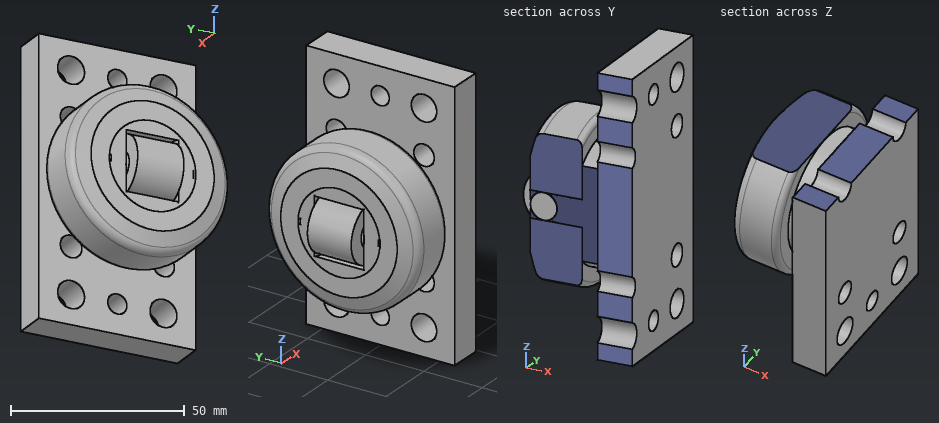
import cadquery as cq
import math


plate_height = 88.9
plate_width = 51.0
plate_thickness = 11.3
plate_front_x = 21.8
hole_spacing_y = 30.05
outer_hole_spacing_z = 70.05
inner_hole_spacing_z = 40.0
corner_hole_diameter = 8.7
inner_hole_diameter = 7.0
centre_hole_diameter = 6.2

wheel_diameter = 52.5
wheel_radius = wheel_diameter / 2
wheel_width = 16.9
wheel_face_radius = 20.0
front_taper_angle = math.radians(20)
front_round_radius = 2.9
rear_round_radius = 1.9

stem_radius = 14.05
neck_radius = 20.0

roller_radius = 9.5
roller_width = 15.0
roller_projection = 5.1
roller_centre_x = roller_radius - roller_projection
pocket_radius = 10.6
pocket_width = 17.0
axle_radius = 4.3
axle_length = 2 * math.sqrt(stem_radius**2 - axle_radius**2)


def cross_cylinder(radius, length):
    """Cylinder along Y, centred on the roller axis."""
    return (
        cq.Workplane("XZ", origin=(roller_centre_x, length / 2, 0))
        .circle(radius)
        .extrude(length)
    )


def disc(radius, start_x, end_x):
    """Cylinder along the wheel axis."""
    return cq.Workplane("YZ", origin=(start_x, 0, 0)).circle(radius).extrude(end_x - start_x)


def make_plate():
    plate = (
        cq.Workplane("YZ", origin=(plate_front_x, 0, 0))
        .rect(plate_width, plate_height)
        .extrude(plate_thickness)
    )
    hole_patterns = [
        (corner_hole_diameter, hole_spacing_y, outer_hole_spacing_z),
        (inner_hole_diameter, hole_spacing_y, inner_hole_spacing_z),
        (centre_hole_diameter, 0, outer_hole_spacing_z),
    ]
    for diameter, spacing_y, spacing_z in hole_patterns:
        columns = [-spacing_y / 2, spacing_y / 2] if spacing_y else [0]
        centres = [(y, z) for y in columns for z in (-spacing_z / 2, spacing_z / 2)]
        holes = (
            cq.Workplane("YZ", origin=(plate_front_x, 0, 0))
            .pushPoints(centres)
            .circle(diameter / 2)
            .extrude(plate_thickness)
        )
        plate = plate.cut(holes)
    return plate


def make_wheel():
    round_centre_r = wheel_radius - front_round_radius
    taper_end_r = round_centre_r + front_round_radius * math.sin(front_taper_angle)
    taper_end_x = (taper_end_r - wheel_face_radius) * math.tan(front_taper_angle)
    round_centre_x = taper_end_x + front_round_radius * math.cos(front_taper_angle)
    middle_angle = (front_taper_angle + math.pi / 2) / 2
    round_middle = (
        round_centre_x - front_round_radius * math.cos(middle_angle),
        round_centre_r + front_round_radius * math.sin(middle_angle),
    )
    return (
        cq.Workplane("XY")
        .moveTo(0, stem_radius)
        .lineTo(0, wheel_face_radius)
        .lineTo(taper_end_x, taper_end_r)
        .threePointArc(round_middle, (round_centre_x, wheel_radius))
        .lineTo(wheel_width - rear_round_radius, wheel_radius)
        .radiusArc((wheel_width, wheel_radius - rear_round_radius), rear_round_radius)
        .lineTo(wheel_width, stem_radius)
        .close()
        .revolve(360, (0, 0, 0), (1, 0, 0))
    )


def make_hub():
    stem = disc(stem_radius, 0, wheel_width)
    neck = disc(neck_radius, wheel_width, plate_front_x)
    pocket = cross_cylinder(pocket_radius, pocket_width)
    axle_hole = cross_cylinder(axle_radius, 2 * stem_radius)
    return stem.union(neck).cut(pocket).cut(axle_hole)


def make_roller():
    bore = cross_cylinder(axle_radius, roller_width)
    return cross_cylinder(roller_radius, roller_width).cut(bore)


def make_axle():
    return cross_cylinder(axle_radius, axle_length)


plate = make_plate()
wheel = make_wheel()
hub = make_hub()
roller = make_roller()
axle = make_axle()

result = cq.Compound.makeCompound([plate.val(), wheel.val(), hub.val(), roller.val(), axle.val()])